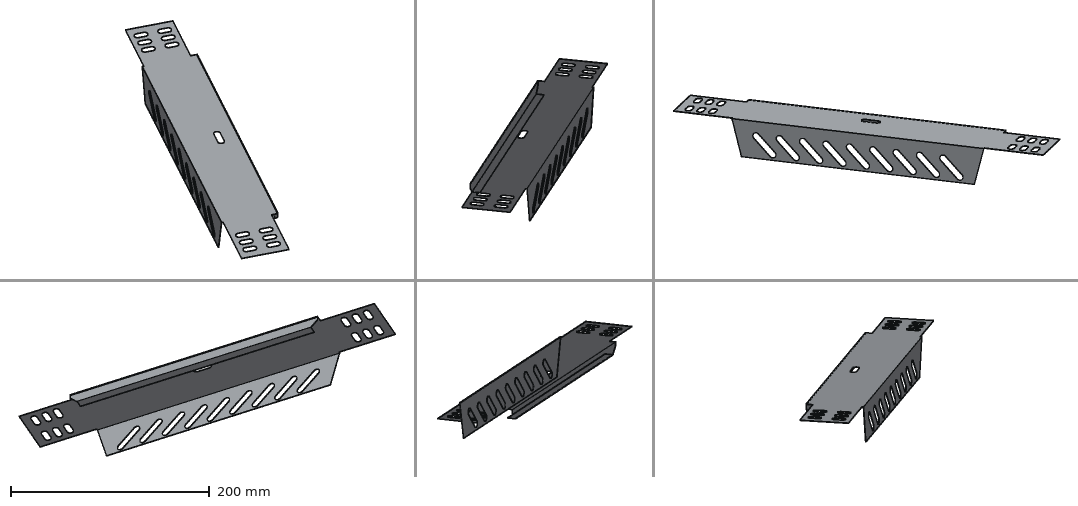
import cadquery as cq

LENGTH = 395.0
DEPTH = 59.2
HEIGHT = 40.0
SHEET = 0.8

BODY_LENGTH = 275.0
TONGUE_WIDTH = 50.0
TONGUE_FRONT_STEP = 2.0

FRONT_TOP_LENGTH = 269.5
FRONT_BOTTOM_LENGTH = 249.0

BACK_HEIGHT = 12.2
BACK_STRAIGHT_HEIGHT = 4.7
LIP_WIDTH = 8.5

FRONT_SLOT_WIDTH = 7.0
PLATE_SLOT_WIDTH = 6.7
TONGUE_SLOT_LENGTH = 14.2
TONGUE_SLOT_END_GAP = 12.5
TONGUE_SLOT_SPAN = 25.0
TONGUE_SLOT_COLUMNS = 3
FRONT_ROW_Y = 14.5
ROW_PITCH = 25.0
BODY_SLOT_LENGTH = 20.0
FRONT_SLOT_LENGTH = 32.0
FRONT_SLOT_SPAN = 200.0
FRONT_SLOT_COUNT = 9
FRONT_SLOT_DROP = 25.0
FRONT_SLOT_ANGLE = -45

TONGUE_BACK = TONGUE_FRONT_STEP + TONGUE_WIDTH
BACK_ROW_Y = FRONT_ROW_Y + ROW_PITCH
BACK_BOTTOM_LENGTH = BODY_LENGTH - 2 * (BACK_HEIGHT - BACK_STRAIGHT_HEIGHT)


def plate(length, y_front, y_back, z_top):
    """Horizontal sheet, centred on X, with its upper face at z_top."""
    size_y = y_back - y_front
    box = cq.Workplane("XY").box(length, size_y, SHEET, centered=(True, False, False))
    return box.translate((0, y_front, z_top - SHEET))


def upright(outline, y_front):
    """Vertical sheet with the given XZ outline and its front face at y_front."""
    sheet = cq.Workplane("XZ").polyline(outline).close().extrude(-SHEET)
    return sheet.translate((0, y_front, 0))


def top_plate():
    tongues = plate(LENGTH, TONGUE_FRONT_STEP, TONGUE_BACK, 0)
    back_body = plate(BODY_LENGTH, TONGUE_FRONT_STEP, DEPTH, 0)
    front_body = plate(FRONT_TOP_LENGTH, 0, TONGUE_BACK, 0)
    return tongues.union(back_body).union(front_body)


def front_flange():
    half_top = FRONT_TOP_LENGTH / 2
    half_bottom = FRONT_BOTTOM_LENGTH / 2
    outline = [(-half_top, 0), (half_top, 0), (half_bottom, -HEIGHT), (-half_bottom, -HEIGHT)]
    return upright(outline, 0)


def back_flange():
    half_top = BODY_LENGTH / 2
    half_bottom = BACK_BOTTOM_LENGTH / 2
    outline = [
        (-half_top, 0),
        (half_top, 0),
        (half_top, -BACK_STRAIGHT_HEIGHT),
        (half_bottom, -BACK_HEIGHT),
        (-half_bottom, -BACK_HEIGHT),
        (-half_top, -BACK_STRAIGHT_HEIGHT),
    ]
    lip = plate(BACK_BOTTOM_LENGTH, DEPTH - LIP_WIDTH, DEPTH, SHEET - BACK_HEIGHT)
    return upright(outline, DEPTH - SHEET).union(lip)


def plate_slots(points, length, angle):
    """Cutters for slots through the top plate."""
    return cq.Workplane("XY").pushPoints(points).slot2D(length, PLATE_SLOT_WIDTH, angle).extrude(-SHEET)


def tongue_slots():
    first_x = LENGTH / 2 - TONGUE_SLOT_END_GAP
    pitch = TONGUE_SLOT_SPAN / (TONGUE_SLOT_COLUMNS - 1)
    columns = [first_x - i * pitch for i in range(TONGUE_SLOT_COLUMNS)]
    points = [
        (side * x, y)
        for side in (-1, 1)
        for x in columns
        for y in (FRONT_ROW_Y, BACK_ROW_Y)
    ]
    return plate_slots(points, TONGUE_SLOT_LENGTH, 90)


def front_slots():
    first_x = -FRONT_SLOT_SPAN / 2
    pitch = FRONT_SLOT_SPAN / (FRONT_SLOT_COUNT - 1)
    points = [(first_x + i * pitch, -FRONT_SLOT_DROP) for i in range(FRONT_SLOT_COUNT)]
    slots = cq.Workplane("XZ").pushPoints(points)
    return slots.slot2D(FRONT_SLOT_LENGTH, FRONT_SLOT_WIDTH, FRONT_SLOT_ANGLE).extrude(-SHEET)


body_slot = plate_slots([(0, BACK_ROW_Y)], BODY_SLOT_LENGTH, 0)

result = (
    top_plate()
    .union(front_flange())
    .union(back_flange())
    .cut(tongue_slots())
    .cut(body_slot)
    .cut(front_slots())
)